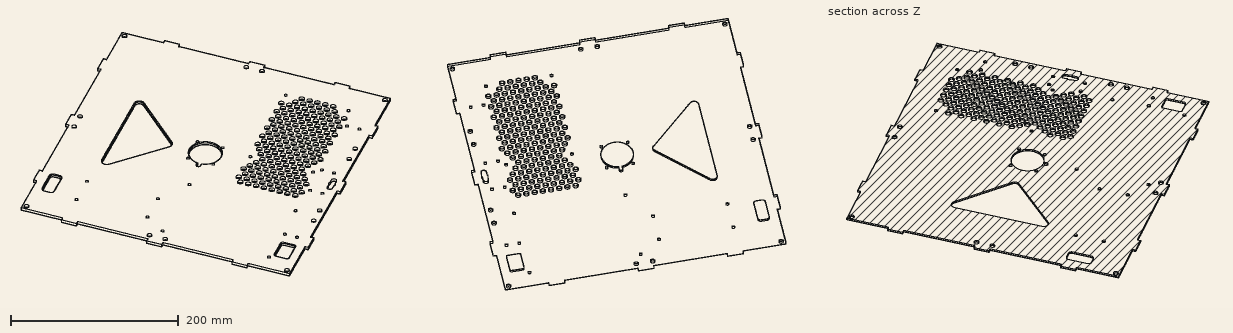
import cadquery as cq
OUTER_SIZE = 350.0
THICKNESS = 4.0
TAB_DEPTH = THICKNESS
TAB_LENGTH = 19.2
TAB_SPACING = 108.7
BODY_SIZE = OUTER_SIZE - 2 * TAB_DEPTH

CHAMFER = 1.0
CHAMFER_FLARE_ANGLE = -45.0

CORNER_HOLE_DIAMETER = 5.5
CORNER_HOLE_INSET = 5.0
CORNER_HOLE_SPACING = BODY_SIZE - 2 * CORNER_HOLE_INSET

EDGE_HOLE_DIAMETER = 5.5
EDGE_HOLE_INSET = 7.0
EDGE_HOLE_SPACING = 20.0
EDGE_HOLE_OFFSET = BODY_SIZE / 2 - EDGE_HOLE_INSET
RIGHT_PAIR_OFFSET = 60.2

VENT_HOLE_DIAMETER = 6.5
VENT_CENTER_X = 92.25
VENT_TOP_Y = 133.2
VENT_PITCH = 10.0
VENT_ROW_PITCH = 8.0
VENT_HOLES_PER_ROW = [5, 6] + [9, 8] * 6 + [7, 6, 7, 8] + [9, 8] * 2

SCREW_HOLE_DIAMETER = 3.5
FAN_PATTERN = (92.1, 72.5, 80.0, 120.0)
LEFT_BOARD_PATTERN = (-69.25, -116.0, 90.5, 35.5)
RIGHT_BOARD_PATTERN = (69.7, -106.0, 135.5, 90.5)
INNER_BRACKET_PATTERN = (148.3, 0.0, 15.6, 39.8)
OUTER_BRACKET_PATTERN = (148.3, 0.0, 15.6, 211.0)

TRIANGLE_LEFT_X = -111.0
TRIANGLE_TIP_X = -41.5
TRIANGLE_HALF_HEIGHT = 68.2
TRIANGLE_CORNER_RADIUS = 5.5

BORE_X = -0.5
BORE_DIAMETER = 39.0
NOTCH_WIDTH = 4.3
NOTCH_END = 25.4
BORE_SCREW_DIAMETER = 3.2
BORE_SCREW_SPACING = 32.2

LEFT_WINDOW = (-152.4, -116.2, 14.0, 31.0, 3.5)
RIGHT_WINDOW = (151.1, -133.3, 17.4, 25.0, 2.0)

SLOT_X = 160.8
SLOT_WIDTH = 6.5
SLOT_LENGTH = 20.0
SLOT_HOLE_DIAMETER = 8.0


def block(center_x, center_y, width, height):
    return cq.Workplane("XY").center(center_x, center_y).rect(width, height).extrude(THICKNESS)


def hole_pins(points, diameter):
    return cq.Workplane("XY").pushPoints(points).circle(diameter / 2).extrude(THICKNESS)


def rectangle_points(center_x, center_y, spacing_x, spacing_y):
    return [
        (center_x + side_x * spacing_x / 2, center_y + side_y * spacing_y / 2)
        for side_x in (-1, 1)
        for side_y in (-1, 1)
    ]


def with_chamfer(cutter):
    """Widen the top of a straight cutter so that it also cuts the rim chamfer."""
    outline = cutter.faces("<Z").wires().toPending()
    flare = outline.extrude(CHAMFER, taper=CHAMFER_FLARE_ANGLE, combine=False)
    return cutter.union(flare.translate((0, 0, THICKNESS - CHAMFER)))


def plate():
    body = block(0, 0, BODY_SIZE, BODY_SIZE)
    for offset in (-TAB_SPACING, 0, TAB_SPACING):
        body = body.union(block(offset, 0, TAB_LENGTH, OUTER_SIZE))
        body = body.union(block(0, offset, OUTER_SIZE, TAB_LENGTH))
    return body


def corner_holes():
    points = rectangle_points(0, 0, CORNER_HOLE_SPACING, CORNER_HOLE_SPACING)
    return hole_pins(points, CORNER_HOLE_DIAMETER)


def edge_holes():
    half_spacing = EDGE_HOLE_SPACING / 2
    points = rectangle_points(0, 0, EDGE_HOLE_SPACING, 2 * EDGE_HOLE_OFFSET)
    for side in (-1, 1):
        points.append((-EDGE_HOLE_OFFSET, side * half_spacing))
        for pair_y in (-RIGHT_PAIR_OFFSET, RIGHT_PAIR_OFFSET):
            points.append((EDGE_HOLE_OFFSET, pair_y + side * half_spacing))
    return hole_pins(points, EDGE_HOLE_DIAMETER)


def screw_holes():
    patterns = (
        FAN_PATTERN,
        LEFT_BOARD_PATTERN,
        RIGHT_BOARD_PATTERN,
        INNER_BRACKET_PATTERN,
        OUTER_BRACKET_PATTERN,
    )
    points = [point for pattern in patterns for point in rectangle_points(*pattern)]
    return hole_pins(points, SCREW_HOLE_DIAMETER)


def vent_grille():
    points = []
    for row, count in enumerate(VENT_HOLES_PER_ROW):
        first_x = VENT_CENTER_X - (count - 1) * VENT_PITCH / 2
        y = VENT_TOP_Y - row * VENT_ROW_PITCH
        points += [(first_x + column * VENT_PITCH, y) for column in range(count)]
    return hole_pins(points, VENT_HOLE_DIAMETER)


def triangle_window():
    corners = [
        (TRIANGLE_LEFT_X, TRIANGLE_HALF_HEIGHT),
        (TRIANGLE_TIP_X, 0),
        (TRIANGLE_LEFT_X, -TRIANGLE_HALF_HEIGHT),
    ]
    cutter = cq.Workplane("XY").polyline(corners).close().extrude(THICKNESS)
    return with_chamfer(cutter.edges("|Z").fillet(TRIANGLE_CORNER_RADIUS))


def notched_bore():
    bore = hole_pins([(BORE_X, 0)], BORE_DIAMETER)
    slot_length = NOTCH_END + NOTCH_WIDTH / 2
    slot_center_y = NOTCH_WIDTH / 2 - slot_length / 2
    notch = (
        cq.Workplane("XY")
        .center(BORE_X, slot_center_y)
        .slot2D(slot_length, NOTCH_WIDTH, 90)
        .extrude(THICKNESS)
    )
    return with_chamfer(bore.union(notch))


def bore_screw_holes():
    points = rectangle_points(BORE_X, 0, BORE_SCREW_SPACING, BORE_SCREW_SPACING)
    return hole_pins(points, BORE_SCREW_DIAMETER)


def rectangular_window(center_x, center_y, width, height, corner_radius):
    cutter = block(center_x, center_y, width, height)
    return with_chamfer(cutter.edges("|Z").fillet(corner_radius))


def widened_slot():
    slot = (
        cq.Workplane("XY")
        .center(SLOT_X, 0)
        .slot2D(SLOT_LENGTH, SLOT_WIDTH, 90)
        .extrude(THICKNESS)
    )
    return slot.union(hole_pins([(SLOT_X, 0)], SLOT_HOLE_DIAMETER))


cutters = [
    corner_holes(),
    edge_holes(),
    screw_holes(),
    vent_grille(),
    triangle_window(),
    notched_bore(),
    bore_screw_holes(),
    rectangular_window(*LEFT_WINDOW),
    rectangular_window(*RIGHT_WINDOW),
    widened_slot(),
]

result = plate()
for cutter in cutters:
    result = result.cut(cutter)